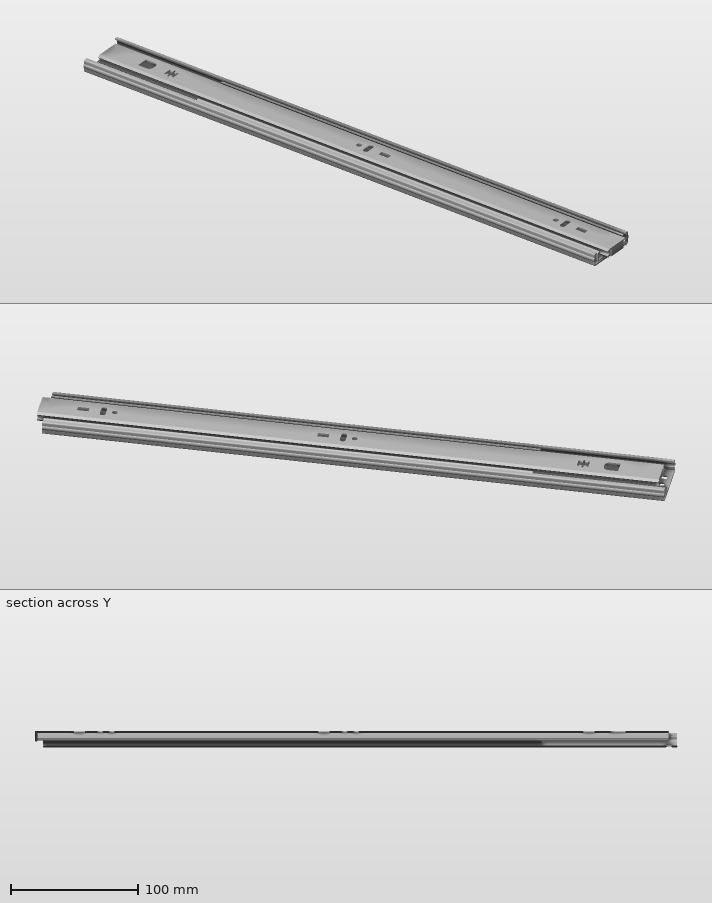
import cadquery as cq
import math

SLIDE_LENGTH = 504.0
OUTER_LENGTH = 498.0
INNER_START = 6.5
MIDDLE_START = 106.5
SHEET = 1.25

OUTER_HALF_WIDTH = 22.0
BEAD_DEPTH = 0.75
LIP_HALF_GAP = 18.5
OUTER_HEIGHT = 11.0
OUTER_CORNER_RADIUS = 1.25
BEAD_BOTTOM = 4.0
BEAD_TOP = 7.5

MIDDLE_HALF_WIDTH = 17.5
MIDDLE_BASE = 2.0
MIDDLE_HEIGHT = 11.0
MIDDLE_WEB_RISE = 1.5
MIDDLE_WEB_HALF_WIDTH = 5.5
MIDDLE_FLOOR_START = 10.5
HOOK_CREST_HALF_WIDTH = 16.0
HOOK_HALF_GAP = 14.5
HOOK_DROP = 1.5

INNER_HEIGHT = 12.5
INNER_TOP_HALF_WIDTH = 10.5
SHOULDER_HALF_WIDTH = 12.5
SKIRT_HALF_WIDTH = 13.0
SHOULDER_HEIGHT = 11.0
WAIST_HALF_WIDTH = 10.5
WAIST_TOP = 9.0
WAIST_BOTTOM = 7.5
SKIRT_HEIGHT = 7.0
SKIRT_END_HALF_WIDTH = 11.5
SKIRT_BOTTOM = 5.0
TAB_HALF_WIDTH = 8.0
TAB_BOTTOM = 4.5

HOLE_GROUP_STARTS = (252.0, 444.0)
ROUND_HOLE_DIAMETER = 4.5
CROSS_SLOT_OFFSET = 9.0
CROSS_SLOT_LENGTH = 11.0
LONG_SLOT_OFFSET = 25.0
LONG_SLOT_LENGTH = 9.0
SLOT_WIDTH = 4.5
WINDOW_START = 40.5
WINDOW_LENGTH = 12.0
WINDOW_WIDTH = 10.5
WINDOW_CORNER = 4.0
STAR_CENTER = 69.0
STAR_LENGTH = 9.0
STAR_WIDTH = 10.5
STAR_CROSSBAR_LENGTH = 7.5
STAR_WAIST = 4.5
STAR_ARM = 1.5

END_HOLE_START = 4.0
END_HOLE_SIZE = 4.5
SIDE_HOLE_SPACING = 19.5


def offset_left(path, distance):
    """Shift an open path sideways to the left of its direction, with mitred corners."""
    directions = [math.atan2(b[1] - a[1], b[0] - a[0]) for a, b in zip(path, path[1:])]
    before = directions[:1] + directions
    after = directions + directions[-1:]
    shifted = []
    for (y, z), angle_in, angle_out in zip(path, before, after):
        normal = (angle_in + angle_out) / 2 + math.pi / 2
        reach = distance / math.cos((angle_out - angle_in) / 2)
        shifted.append((y + reach * math.cos(normal), z + reach * math.sin(normal)))
    return shifted


def bent_sheet(half_path, side, start, end):
    """Rail of constant sheet thickness; half_path is its outside face from near the centre to +Y.

    side is +1 when the sheet lies to the left of half_path and -1 when it lies to the right.
    """
    half = half_path + offset_left(half_path, side * SHEET)[::-1]
    inside = half[len(half_path):]
    mirrored_outside = [(-y, z) for y, z in reversed(half_path)]
    mirrored_inside = [(-y, z) for y, z in reversed(inside)]
    outline = mirrored_outside + half_path + inside + mirrored_inside
    return cq.Workplane("YZ").workplane(offset=start).polyline(outline).close().extrude(end - start)


def through(sketch):
    """Cutter standing on the base plane and taller than the slide."""
    return sketch.extrude(2 * INNER_HEIGHT)


def bead(side, wall_face):
    """Round-backed strip along the whole wall face, standing out by the bead depth."""
    crest = wall_face + BEAD_DEPTH
    section = cq.Workplane("YZ").moveTo(side * wall_face, BEAD_BOTTOM)
    middle_height = (BEAD_BOTTOM + BEAD_TOP) / 2
    section = section.threePointArc((side * crest, middle_height), (side * wall_face, BEAD_TOP))
    return section.close().extrude(OUTER_LENGTH)


def make_outer_rail():
    half_path = [
        (OUTER_HALF_WIDTH / 2, 0),
        (OUTER_HALF_WIDTH, 0),
        (OUTER_HALF_WIDTH, OUTER_HEIGHT),
        (LIP_HALF_GAP, OUTER_HEIGHT),
    ]
    rail = bent_sheet(half_path, 1, 0, OUTER_LENGTH)
    wall_edges = rail.edges("|X").filter(lambda edge: abs(edge.Center().y) > OUTER_HALF_WIDTH - SHEET / 2)
    rail = wall_edges.edges("<Z or >Z").fillet(OUTER_CORNER_RADIUS)
    for side in (-1, 1):
        rail = rail.union(bead(side, OUTER_HALF_WIDTH)).cut(bead(side, OUTER_HALF_WIDTH - SHEET))
    hole_x = END_HOLE_START + END_HOLE_SIZE / 2
    side_holes = cq.Workplane().center(hole_x, 0).rarray(5, SIDE_HOLE_SPACING, 1, 2)
    rail = rail.cut(through(side_holes.rect(END_HOLE_SIZE, END_HOLE_SIZE)))
    return rail.cut(through(cq.Workplane().center(hole_x, 0).circle(END_HOLE_SIZE / 2)))


def make_middle_rail():
    half_path = [
        (MIDDLE_WEB_HALF_WIDTH / 2, MIDDLE_BASE + MIDDLE_WEB_RISE),
        (MIDDLE_WEB_HALF_WIDTH, MIDDLE_BASE + MIDDLE_WEB_RISE),
        (MIDDLE_FLOOR_START, MIDDLE_BASE),
        (MIDDLE_HALF_WIDTH, MIDDLE_BASE),
        (MIDDLE_HALF_WIDTH, MIDDLE_HEIGHT - HOOK_DROP),
        (HOOK_CREST_HALF_WIDTH, MIDDLE_HEIGHT),
        (HOOK_HALF_GAP, MIDDLE_HEIGHT - HOOK_DROP / 2),
    ]
    return bent_sheet(half_path, 1, MIDDLE_START, OUTER_LENGTH)


def hole_group(start):
    """Round hole, slot across the rail and slot along the rail."""
    round_hole = cq.Workplane().center(start, 0).circle(ROUND_HOLE_DIAMETER / 2)
    cross_slot = cq.Workplane().center(start + CROSS_SLOT_OFFSET, 0).slot2D(CROSS_SLOT_LENGTH, SLOT_WIDTH, 90)
    long_slot = cq.Workplane().center(start + LONG_SLOT_OFFSET, 0).rect(LONG_SLOT_LENGTH, SLOT_WIDTH)
    return through(round_hole).add(through(cross_slot)).add(through(long_slot)).combine()


def window():
    """Opening with a square end toward -X and a rounded end toward +X."""
    center_x = WINDOW_START + WINDOW_LENGTH / 2
    block = through(cq.Workplane().center(center_x, 0).rect(WINDOW_LENGTH, WINDOW_WIDTH))
    return block.edges("|Z and >X").fillet(WINDOW_CORNER)


def star():
    """Cross-shaped opening whose two arms along X end in crossbars."""
    center = cq.Workplane().center(STAR_CENTER, 0)
    cross = through(center.rect(STAR_ARM, STAR_WIDTH)).union(through(center.rect(STAR_LENGTH, STAR_WAIST)))
    bar_x = (STAR_LENGTH - STAR_ARM) / 2
    bars = center.pushPoints([(-bar_x, 0), (bar_x, 0)]).rect(STAR_ARM, STAR_CROSSBAR_LENGTH)
    return cross.union(through(bars))


def make_inner_rail():
    half_path = [
        (INNER_TOP_HALF_WIDTH / 2, INNER_HEIGHT),
        (INNER_TOP_HALF_WIDTH, INNER_HEIGHT),
        (SHOULDER_HALF_WIDTH, SHOULDER_HEIGHT),
        (WAIST_HALF_WIDTH, WAIST_TOP),
        (WAIST_HALF_WIDTH, WAIST_BOTTOM),
        (SKIRT_HALF_WIDTH, SKIRT_HEIGHT),
        (SKIRT_END_HALF_WIDTH, SKIRT_BOTTOM),
    ]
    rail = bent_sheet(half_path, -1, INNER_START, SLIDE_LENGTH)
    tab_height = INNER_HEIGHT - TAB_BOTTOM
    tab = cq.Workplane().box(SHEET, 2 * TAB_HALF_WIDTH, tab_height, centered=(False, True, False))
    rail = rail.union(tab.translate((SLIDE_LENGTH - SHEET, 0, TAB_BOTTOM)))
    for start in HOLE_GROUP_STARTS:
        rail = rail.cut(hole_group(start))
    return rail.cut(window()).cut(star())


outer_rail = make_outer_rail()
middle_rail = make_middle_rail()
inner_rail = make_inner_rail()

result = cq.Compound.makeCompound([rail.solids().val() for rail in (outer_rail, middle_rail, inner_rail)])